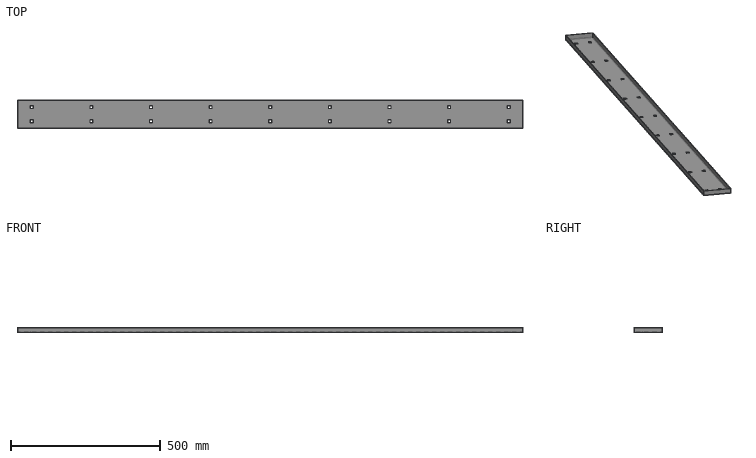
import cadquery as cq

LENGTH = 1697.0
WIDTH = 95.0
HEIGHT = 16.5
SHEET = 1.5

BEND_INNER_RADIUS = 0.01
BEND_OUTER_RADIUS = BEND_INNER_RADIUS + SHEET
CORNER_RELIEF = BEND_OUTER_RADIUS

HOLE_SIDE = 9.0
HOLE_PITCH = 200.0
HOLES_PER_ROW = 9
ROW_SPACING = WIDTH / 2
ROW_COUNT = 2


def make_channel(span, depth):
    """U-shaped channel with walls at both ends of its X span, running along Y for the given depth."""
    outside = (
        cq.Workplane("XY")
        .box(span, depth, HEIGHT, centered=(True, True, False))
        .edges("|Y and <Z")
        .fillet(BEND_OUTER_RADIUS)
    )
    inside = (
        cq.Workplane("XY", origin=(0, 0, SHEET))
        .box(span - 2 * SHEET, depth, HEIGHT - SHEET, centered=(True, True, False))
        .edges("|Y and <Z")
        .fillet(BEND_INNER_RADIUS)
    )
    return outside.cut(inside)


def make_tray():
    """Floor with four bent-up walls and an open square notch at each corner."""
    with_end_walls = make_channel(LENGTH, WIDTH - 2 * CORNER_RELIEF)
    with_side_walls = make_channel(WIDTH, LENGTH - 2 * CORNER_RELIEF).rotate((0, 0, 0), (0, 0, 1), 90)
    return with_end_walls.union(with_side_walls)


def make_floor_holes():
    """Cutters for the two rows of square holes."""
    return (
        cq.Workplane("XY")
        .rarray(HOLE_PITCH, ROW_SPACING, HOLES_PER_ROW, ROW_COUNT)
        .rect(HOLE_SIDE, HOLE_SIDE)
        .extrude(SHEET)
    )


result = make_tray().cut(make_floor_holes())